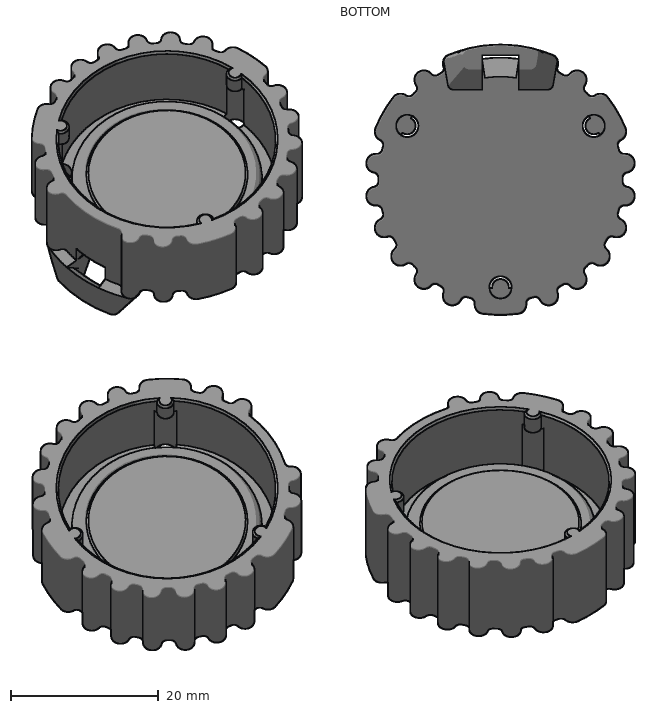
import cadquery as cq
import math

BODY_HEIGHT = 12.5
TOOTH_PITCH = 15.0
TOOTH_RADIUS = 1.3
TOOTH_CENTRE_RADIUS = 17.05
VALLEY_RADIUS = 16.57
VALLEY_FILLET = 0.7
RIM_FILLET = 0.3
TIP_RADIUS = TOOTH_CENTRE_RADIUS + TOOTH_RADIUS
PAD_ANGLES = (90, 210, 330)
SMOOTH_ANGLE = 270

CAVITY_RADIUS = 14.72
CAVITY_LIP = 0.3
FLOOR_Z = 2.0

RING_RADIUS = 11.6
RING_TUBE = 1.3
RING_CENTRE_Z = 3.5
DISC_RADIUS = 10.95
DISC_TOP_Z = 4.9
DISC_CHAMFER = 0.3

PIN_RADIUS = 1.15
PIN_CENTRE_RADIUS = 14.6
PIN_LENGTH = 2.7
PIN_HOLE_RADIUS = 1.5

TAB_HEIGHT = 5.0
TAB_RADIUS = 18.33
TAB_HALF_WIDTH = 8.1
TAB_SIDE_ANGLE = 10.0
TAB_TOP_INNER = 12.2
TAB_TAPER = 28.0
TAB_EDGE_FILLET = 0.9
TAB_TIP_FILLET = 0.25

SLOT_HALF_ANGLE = 8.7
SLOT_HEIGHT = 2.6
SLOT_HALF_WIDTH = 2.45
SLOT_FRONT = 16.85

CUT_MARGIN = 1.0


def polar(radius, angle):
    """Point at the given radius and angle (degrees) about the Z axis."""
    return (radius * math.cos(math.radians(angle)), radius * math.sin(math.radians(angle)))


def cylinder(radius, height, centre=(0, 0), z=0.0):
    return cq.Workplane("XY").workplane(offset=z).center(*centre).circle(radius).extrude(height)


def grip_outline():
    """Closed outline of round teeth, filleted valleys, wide pads and one smooth stretch."""
    fillet_radius = VALLEY_RADIUS + VALLEY_FILLET
    tooth_to_fillet = TOOTH_RADIUS + VALLEY_FILLET
    foot_angle = math.degrees(math.acos(
        (TOOTH_CENTRE_RADIUS**2 + fillet_radius**2 - tooth_to_fillet**2)
        / (2 * TOOTH_CENTRE_RADIUS * fillet_radius)
    ))

    def foot_points(angle, side):
        """Tooth end, middle and valley end of the fillet on one side (+1 or -1) of a tooth."""
        tooth = cq.Vector(*polar(TOOTH_CENTRE_RADIUS, angle))
        centre = cq.Vector(*polar(fillet_radius, angle + side * foot_angle))
        to_tooth = (tooth - centre).normalized()
        to_valley = centre.normalized() * -1
        middle = centre + (to_tooth + to_valley).normalized() * VALLEY_FILLET
        return centre + to_tooth * VALLEY_FILLET, middle, centre + to_valley * VALLEY_FILLET

    def tooth_shoulder(angle, tooth_end):
        """Point on a tooth midway between its tip and one end of its round flank."""
        tooth = cq.Vector(*polar(TOOTH_CENTRE_RADIUS, angle))
        to_end = (tooth_end - tooth).normalized()
        return tooth + (to_end + tooth.normalized()).normalized() * TOOTH_RADIUS

    count = round(360 / TOOTH_PITCH)
    angles = [(i + 0.5) * TOOTH_PITCH for i in range(count)]
    angles = [angle for angle in angles if abs(angle - SMOOTH_ANGLE) > TOOTH_PITCH]
    outline = cq.Workplane("XY").moveTo(*polar(TIP_RADIUS, angles[0]))
    for angle, following in zip(angles, angles[1:] + [angles[0] + 360]):
        between = (angle + following) / 2
        if between in PAD_ANGLES:
            outline = outline.threePointArc(polar(TIP_RADIUS, between), polar(TIP_RADIUS, following))
            continue
        tooth_end, middle, valley_start = foot_points(angle, 1)
        next_tooth_start, next_middle, valley_end = foot_points(following, -1)
        outline = (
            outline
            .threePointArc(tooth_shoulder(angle, tooth_end), tooth_end)
            .threePointArc(middle, valley_start)
            .threePointArc(polar(VALLEY_RADIUS, between), valley_end)
            .threePointArc(next_middle, next_tooth_start)
            .threePointArc(
                tooth_shoulder(following, next_tooth_start), polar(TIP_RADIUS, following)
            )
        )
    return outline.close()


def grip_body():
    """Toothed outer body with rounded top and bottom edges."""
    return grip_outline().extrude(BODY_HEIGHT).faces("<Z or >Z").edges().fillet(RIM_FILLET)


def cavity():
    """Round recess with a chamfered mouth."""
    bore = cylinder(CAVITY_RADIUS, BODY_HEIGHT - FLOOR_Z, z=FLOOR_Z)
    mouth = cylinder(CAVITY_RADIUS + CAVITY_LIP, CAVITY_LIP, z=BODY_HEIGHT - CAVITY_LIP)
    return bore.union(mouth.faces("<Z").edges().chamfer(CAVITY_LIP * 0.999))


def floor_boss():
    """Raised disc surrounded by a ring with a rounded crest."""
    disc = cylinder(DISC_RADIUS, DISC_TOP_Z).faces(">Z").edges().chamfer(DISC_CHAMFER)
    skirt = cylinder(RING_RADIUS + RING_TUBE, RING_CENTRE_Z)
    ring = cq.Workplane("XZ").center(RING_RADIUS, RING_CENTRE_Z).circle(RING_TUBE).revolve(
        360, (-RING_RADIUS, 0, 0), (-RING_RADIUS, 1, 0)
    )
    return disc.union(skirt).union(ring)


def tab_root():
    """Plan outline of the tab at its root, running out past the tab's outer radius."""
    outer = TAB_RADIUS + TAB_HEIGHT
    side_slope = math.tan(math.radians(TAB_SIDE_ANGLE))
    inner_half = TAB_HALF_WIDTH - (TAB_RADIUS - TAB_TOP_INNER) * side_slope
    outer_half = TAB_HALF_WIDTH + (outer - TAB_RADIUS) * side_slope
    return cq.Workplane("XY").polyline([
        (-inner_half, -TAB_TOP_INNER),
        (-outer_half, -outer),
        (outer_half, -outer),
        (inner_half, -TAB_TOP_INNER),
    ]).close()


def tab():
    """Tapered tab below the smooth face, rounded on the outside by the tab cylinder."""
    wedge = tab_root().extrude(-TAB_HEIGHT, taper=TAB_TAPER)
    wedge = wedge.intersect(cylinder(TAB_RADIUS, TAB_HEIGHT, z=-TAB_HEIGHT))
    slanted_edges = cq.selectors.BoxSelector(
        (-TAB_RADIUS, -TAB_RADIUS, -0.9 * TAB_HEIGHT), (TAB_RADIUS, 0, -0.1 * TAB_HEIGHT)
    )
    wedge = wedge.edges(slanted_edges).fillet(TAB_EDGE_FILLET)
    wedge = wedge.faces("<Z").edges().fillet(TAB_TIP_FILLET)
    collar = tab_root().extrude(RIM_FILLET).intersect(grip_outline().extrude(RIM_FILLET))
    return wedge.union(collar)


def strap_slot():
    """Passage running down and inward at 45 degrees from the smooth face through the tab."""
    drop = TAB_HEIGHT + CUT_MARGIN
    mouth_top = SLOT_HEIGHT + CUT_MARGIN
    channel = (
        cq.Workplane("XZ")
        .polyline([
            (TAB_RADIUS, 0),
            (TAB_RADIUS + mouth_top, mouth_top),
            (VALLEY_RADIUS + CUT_MARGIN, mouth_top),
            (VALLEY_RADIUS - SLOT_HEIGHT - drop, -drop),
            (TAB_RADIUS - drop, -drop),
        ])
        .close()
        .revolve(2 * SLOT_HALF_ANGLE, (0, 0, 0), (0, 1, 0))
    )
    return channel.rotate((0, 0, 0), (0, 0, 1), -90 - SLOT_HALF_ANGLE)


def slot_well():
    """Straight shaft below the mouth of the strap slot, open through the tip of the tab."""
    drop = TAB_HEIGHT + CUT_MARGIN
    return cq.Workplane("XY").box(
        2 * SLOT_HALF_WIDTH, SLOT_FRONT - TAB_TOP_INNER, drop, centered=(True, False, False)
    ).translate((0, -SLOT_FRONT, -drop))


def pin_holes():
    """Holes through the floor below the pins, also hollowing the wall beneath them."""
    holes = cq.Workplane("XY")
    for angle in PAD_ANGLES:
        hole = cylinder(PIN_HOLE_RADIUS, BODY_HEIGHT - PIN_LENGTH, polar(PIN_CENTRE_RADIUS, angle))
        holes = holes.add(hole)
    return holes.combine()


def pins():
    """Short round pins standing out of the wall at the mouth of the cavity."""
    group = cq.Workplane("XY")
    for angle in PAD_ANGLES:
        centre = polar(PIN_CENTRE_RADIUS, angle)
        pin = cylinder(PIN_RADIUS, PIN_LENGTH, centre, BODY_HEIGHT - PIN_LENGTH)
        group = group.add(pin.faces(">Z").edges().chamfer(CAVITY_LIP))
    return group.combine()


result = grip_body().cut(cavity()).union(floor_boss()).union(tab())
result = result.cut(strap_slot()).cut(slot_well()).cut(pin_holes()).union(pins())